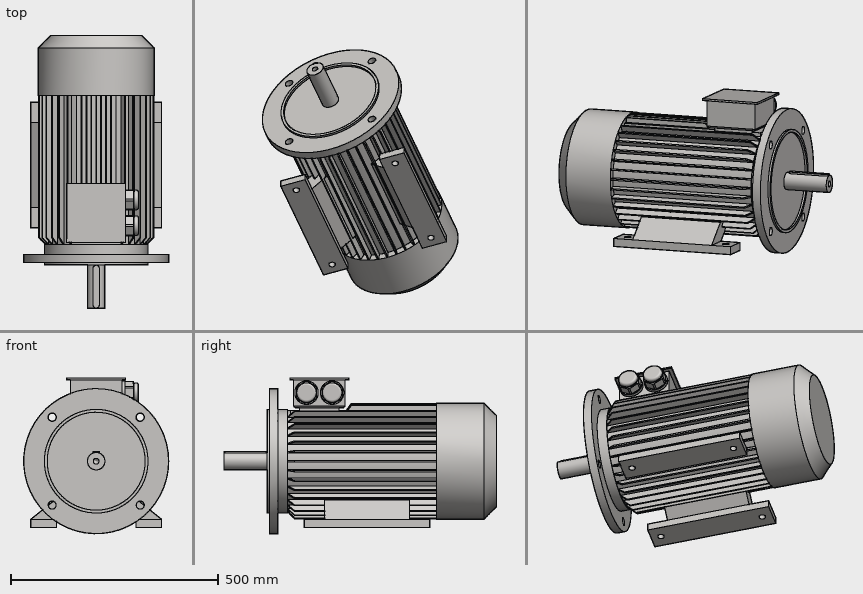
import cadquery as cq
import math


TOTAL_LENGTH = 658
TOTAL_HEIGHT = 376.0

SHAFT_DIAMETER = 42.0
SHAFT_LENGTH = 110.0
CENTRE_HOLE_DIAMETER = 14.0
CENTRE_HOLE_DEPTH = 20.0
KEY_WIDTH = 15.0
KEY_TOP = 24.0
KEY_REAR_GAP = 6.0
KEY_FRONT_GAP = 0.5

FLANGE_DIAMETER = 350.0
FLANGE_THICKNESS = 20.5
SPIGOT_DIAMETER = 250.0
SPIGOT_RECESS_DIAMETER = 236.0
SPIGOT_HEIGHT = 5.0
BOLT_CIRCLE = 300.0
BOLT_HOLE_DIAMETER = 19.0
BOLT_COUNT = 4
FIRST_BOLT_ANGLE = 45

NECK_REAR = 44.0
CORE_DIAMETER = 245.0
CORE_RADIUS = CORE_DIAMETER / 2
FIN_RADIUS = 139.0
FIN_THICKNESS = 3.0
FIN_PITCH_ANGLE = 10
FIN_TAPER_ANGLE = 45

PAD_WIDTH = 95.0
PAD_TOP = CORE_RADIUS
PAD_FRONT = 50.5
PAD_CENTRE_ANGLE = 90
PAD_HALF_ANGLE = 20
TOP_FIN_COUNT = 7
TOP_FIN_PITCH = 12.0
TOP_FIN_THICKNESS = 2.0
TOP_FIN_FRONT = 185.5
TOP_FIN_TAPER_ANGLE = 55

COWL_FRONT = 403.0
COWL_DIAMETER = 280.0
COWL_CHAMFER = 30.0
COWL_REAR = TOTAL_LENGTH - SHAFT_LENGTH

FOOT_BOTTOM = -160.0
FOOT_THICKNESS = 20.0
FOOT_WIDTH = 62.5
FOOT_LENGTH = 303.5
FOOT_HALF_SPAN = 158.0
FOOT_CENTRE_Y = 235.5
FOOT_HOLE_DIAMETER = 15.0
FOOT_HOLE_SPACING = 254.0
GUSSET_LENGTH = 204.5
GUSSET_RUN = 58.0
GUSSET_RISE = 47.0

BOX_CENTRE_Y = 120.5
BOX_WIDTH = 125.0
BOX_BOTTOM = 128.0
BOX_BOTTOM_CHAMFER = 4.5
LID_WIDTH = 142.0
LID_THICKNESS = 4.5
LID_TOP = TOTAL_HEIGHT - FLANGE_DIAMETER / 2
PEDESTAL_WIDTH = 96.0

GLAND_Z = 165.0
GLAND_SPACING = 62.0
GLAND_DIAMETER = 56.5
GLAND_COLLAR_LENGTH = 7.0
GLAND_HEX_LENGTH = 20.0
GLAND_HEX_CHAMFER = 2.5
GLAND_NECK_DIAMETER = 42.0
GLAND_NECK_LENGTH = 2.0
GLAND_CAP_DIAMETER = 47.5
GLAND_CAP_LENGTH = 10.5
GLAND_CAP_FILLET = 5.0

OVERLAP = 3.0


def rod(diameter, front, rear):
    """Cylinder about the shaft axis from Y = front to Y = rear."""
    return cq.Workplane("XZ", origin=(0, front, 0)).circle(diameter / 2).extrude(front - rear)


def block(x_min, x_max, y_min, y_max, z_min, z_max):
    corner = cq.Workplane("XY", origin=(x_min, y_min, z_min))
    return corner.box(x_max - x_min, y_max - y_min, z_max - z_min, centered=False)


def fin_envelope(front, taper_angle):
    """Round body that limits the fin tips, tapered from the core at its front end."""
    taper_length = (FIN_RADIUS - CORE_RADIUS) / math.tan(math.radians(taper_angle))
    return (
        cq.Workplane("XY")
        .moveTo(0, front)
        .lineTo(CORE_RADIUS, front)
        .lineTo(FIN_RADIUS, front + taper_length)
        .lineTo(FIN_RADIUS, COWL_FRONT)
        .lineTo(0, COWL_FRONT)
        .close()
        .revolve(360, (0, 0, 0), (0, 1, 0))
    )


def make_flange():
    flange = rod(FLANGE_DIAMETER, 0, FLANGE_THICKNESS)
    holes = (
        cq.Workplane("XZ")
        .polarArray(BOLT_CIRCLE / 2, FIRST_BOLT_ANGLE, 360, BOLT_COUNT)
        .circle(BOLT_HOLE_DIAMETER / 2)
        .extrude(-FLANGE_THICKNESS)
    )
    spigot = rod(SPIGOT_DIAMETER, -SPIGOT_HEIGHT, 0).cut(rod(SPIGOT_RECESS_DIAMETER, -SPIGOT_HEIGHT, 0))
    neck = rod(SPIGOT_DIAMETER, FLANGE_THICKNESS, NECK_REAR)
    return flange.cut(holes).union(spigot).union(neck)


def make_shaft():
    shaft = rod(SHAFT_DIAMETER, -SHAFT_LENGTH, OVERLAP)
    key_length = SHAFT_LENGTH - KEY_REAR_GAP - KEY_FRONT_GAP
    key = (
        cq.Workplane("XY", origin=(0, -KEY_REAR_GAP - key_length / 2, 0))
        .slot2D(key_length, KEY_WIDTH, 90)
        .extrude(KEY_TOP)
    )
    hole_radius = CENTRE_HOLE_DIAMETER / 2
    hole_bottom = -SHAFT_LENGTH + CENTRE_HOLE_DEPTH
    centre_hole = (
        cq.Workplane("XY")
        .moveTo(0, -SHAFT_LENGTH)
        .lineTo(hole_radius, -SHAFT_LENGTH)
        .lineTo(hole_radius, hole_bottom)
        .lineTo(0, hole_bottom + hole_radius)
        .close()
        .revolve(360, (0, 0, 0), (0, 1, 0))
    )
    return shaft.union(key).cut(centre_hole)


def make_radial_fins():
    """Radial fins all round, left out where the pad sits on top."""
    half = FIN_THICKNESS / 2
    fin = block(CORE_RADIUS - OVERLAP, FIN_RADIUS + OVERLAP, NECK_REAR, COWL_FRONT, -half, half)
    fins = cq.Workplane("XY")
    for angle in range(0, 360, FIN_PITCH_ANGLE):
        if abs(angle - PAD_CENTRE_ANGLE) > PAD_HALF_ANGLE:
            fins = fins.add(fin.rotate((0, 0, 0), (0, 1, 0), -angle))
    return fins.combine().intersect(fin_envelope(NECK_REAR, FIN_TAPER_ANGLE))


def make_top_fins():
    """Thin upright fins on the pad, with their tips following the round of the frame."""
    half = TOP_FIN_THICKNESS / 2
    fins = cq.Workplane("XY")
    for index in range(TOP_FIN_COUNT):
        x = (index - (TOP_FIN_COUNT - 1) / 2) * TOP_FIN_PITCH
        fins = fins.add(block(x - half, x + half, TOP_FIN_FRONT, COWL_FRONT, PAD_TOP - OVERLAP, FIN_RADIUS))
    return fins.combine().intersect(fin_envelope(TOP_FIN_FRONT, TOP_FIN_TAPER_ANGLE))


def make_frame():
    core = rod(CORE_DIAMETER, NECK_REAR, COWL_FRONT)
    pad = block(-PAD_WIDTH / 2, PAD_WIDTH / 2, PAD_FRONT, COWL_FRONT, 0, PAD_TOP)
    return core.union(make_radial_fins()).union(pad).union(make_top_fins())


def make_cowl():
    return rod(COWL_DIAMETER, COWL_FRONT, COWL_REAR).faces(">Y").chamfer(COWL_CHAMFER)


def make_foot():
    """Foot on the +X side: a drilled plate and a sloping gusset up to the frame."""
    plate_top = FOOT_BOTTOM + FOOT_THICKNESS
    inner_x = FOOT_HALF_SPAN - FOOT_WIDTH
    centre = (FOOT_HALF_SPAN - FOOT_WIDTH / 2, FOOT_CENTRE_Y)
    plate = (
        cq.Workplane("XY", origin=(*centre, FOOT_BOTTOM))
        .rect(FOOT_WIDTH, FOOT_LENGTH)
        .extrude(FOOT_THICKNESS)
        .faces(">Z")
        .workplane()
        .rarray(6.5, FOOT_HOLE_SPACING, 1, 2)
        .hole(FOOT_HOLE_DIAMETER)
    )
    gusset = (
        cq.Workplane("XZ", origin=(0, FOOT_CENTRE_Y, 0))
        .moveTo(inner_x, plate_top)
        .lineTo(FOOT_HALF_SPAN, plate_top)
        .lineTo(FOOT_HALF_SPAN - GUSSET_RUN, plate_top + GUSSET_RISE)
        .lineTo(inner_x - GUSSET_RUN, plate_top + GUSSET_RISE)
        .close()
        .extrude(GUSSET_LENGTH / 2, both=True)
    )
    return plate.union(gusset)


def make_gland(y):
    """Round collar, hexagon with a corner upward, narrow neck and rounded cap, along +X."""
    def section(x):
        return cq.Workplane("YZ", origin=(x, y, GLAND_Z))

    collar_start = BOX_WIDTH / 2
    hex_start = collar_start + GLAND_COLLAR_LENGTH
    neck_start = hex_start + GLAND_HEX_LENGTH
    cap_start = neck_start + GLAND_NECK_LENGTH
    collar = section(collar_start).circle(GLAND_DIAMETER / 2).extrude(GLAND_COLLAR_LENGTH)
    hexagon = (
        section(hex_start)
        .transformed(rotate=(0, 0, 90))
        .polygon(6, GLAND_DIAMETER)
        .extrude(GLAND_HEX_LENGTH)
        .edges("|X")
        .chamfer(GLAND_HEX_CHAMFER)
    )
    neck = section(neck_start).circle(GLAND_NECK_DIAMETER / 2).extrude(GLAND_NECK_LENGTH)
    cap = (
        section(cap_start)
        .circle(GLAND_CAP_DIAMETER / 2)
        .extrude(GLAND_CAP_LENGTH)
        .faces(">X")
        .edges()
        .fillet(GLAND_CAP_FILLET)
    )
    return collar.union(hexagon).union(neck).union(cap)


def make_terminal_box():
    def square(width, bottom, top):
        return cq.Workplane("XY", origin=(0, BOX_CENTRE_Y, bottom)).rect(width, width).extrude(top - bottom)

    lid_bottom = LID_TOP - LID_THICKNESS
    box = square(BOX_WIDTH, BOX_BOTTOM, lid_bottom).faces("<Z").chamfer(BOX_BOTTOM_CHAMFER)
    box = box.union(square(PEDESTAL_WIDTH, PAD_TOP - OVERLAP, BOX_BOTTOM))
    box = box.union(square(LID_WIDTH, lid_bottom, LID_TOP))
    for side in (-1, 1):
        box = box.union(make_gland(BOX_CENTRE_Y + side * GLAND_SPACING / 2))
    return box


foot = make_foot()
result = (
    make_flange()
    .union(make_shaft())
    .union(make_frame())
    .union(make_cowl())
    .union(foot)
    .union(foot.mirror("YZ"))
    .union(make_terminal_box())
)